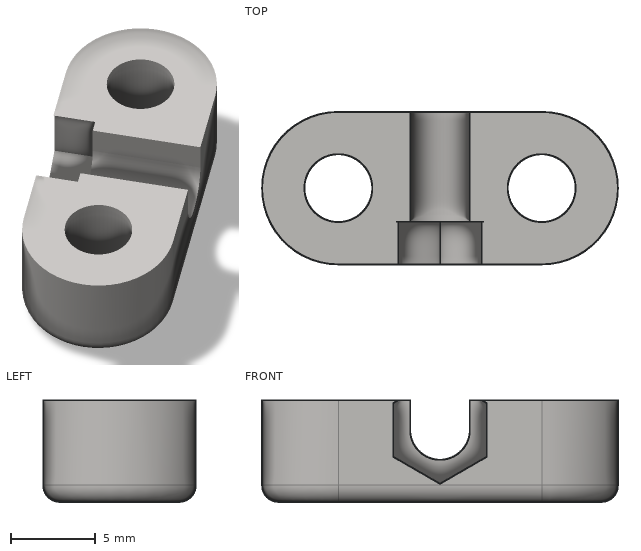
import cadquery as cq

length = 21.0
width = 9.0
height = 6.0
hole_spacing = length - width
hole_diameter = 4.0
bottom_fillet = 1.0
channel_width = 3.5
nut_across_flats = 5.5
nut_pocket_depth = 2.52

axis_height = height - channel_width / 2
front_y = -width / 2


def make_body():
    """Stadium-shaped block with a rounded bottom edge."""
    body = cq.Workplane("XY").slot2D(length, width).extrude(height)
    return body.faces("<Z").edges().fillet(bottom_fillet)


def make_mounting_holes():
    """Vertical through holes at both ends."""
    centers = [(-hole_spacing / 2, 0), (hole_spacing / 2, 0)]
    return cq.Workplane("XY").pushPoints(centers).circle(hole_diameter / 2).extrude(height)


def make_channel():
    """Round-bottomed channel along Y, open at the top."""
    half_width = channel_width / 2
    return (
        cq.Workplane("XZ", origin=(0, width / 2, 0))
        .moveTo(-half_width, height)
        .lineTo(-half_width, axis_height)
        .threePointArc((0, axis_height - half_width), (half_width, axis_height))
        .lineTo(half_width, height)
        .close()
        .extrude(width)
    )


def make_nut_pocket():
    """Hexagonal pocket in the front side, with one corner pointing down."""
    return (
        cq.Workplane("XZ", origin=(0, front_y, axis_height))
        .polygon(6, nut_across_flats, circumscribed=True)
        .extrude(-nut_pocket_depth)
    )


result = make_body().cut(make_mounting_holes()).cut(make_channel()).cut(make_nut_pocket())